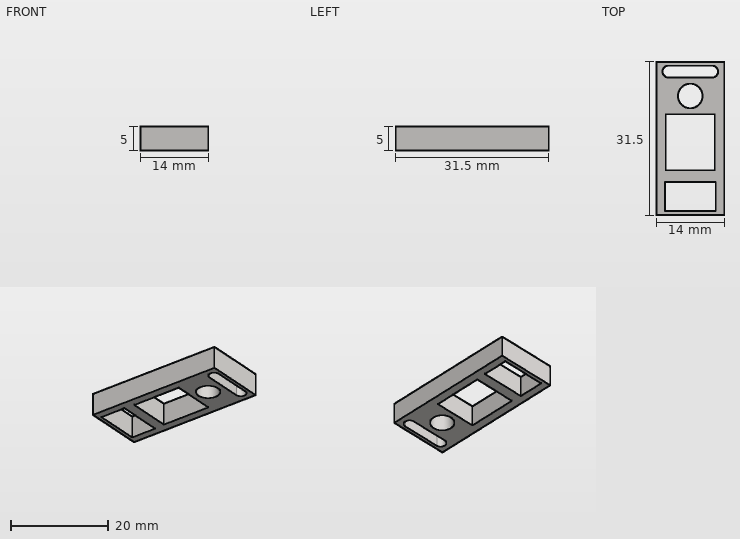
import cadquery as cq

width = 14.0
length = 31.5
thickness = 5.0

slot_width = 11.4
slot_height = 2.4
slot_y = 13.75

hole_diameter = 5.0
hole_y = 8.75

large_window_width = 10.02
large_window_height = 11.5
large_window_y = -0.75

small_window_width = 10.4
small_window_height = 5.92
small_window_y = -11.9


def full_height_block(block_width, block_height, center_y):
    """Rectangular block as tall as the plate, centred on X = 0."""
    return (
        cq.Workplane("XY")
        .center(0, center_y)
        .rect(block_width, block_height)
        .extrude(thickness)
    )


plate = full_height_block(width, length, 0)
slot = cq.Workplane("XY").center(0, slot_y).slot2D(slot_width, slot_height).extrude(thickness)
hole = cq.Workplane("XY").center(0, hole_y).circle(hole_diameter / 2).extrude(thickness)
large_window = full_height_block(large_window_width, large_window_height, large_window_y)
small_window = full_height_block(small_window_width, small_window_height, small_window_y)

result = plate.cut(slot).cut(hole).cut(large_window).cut(small_window)